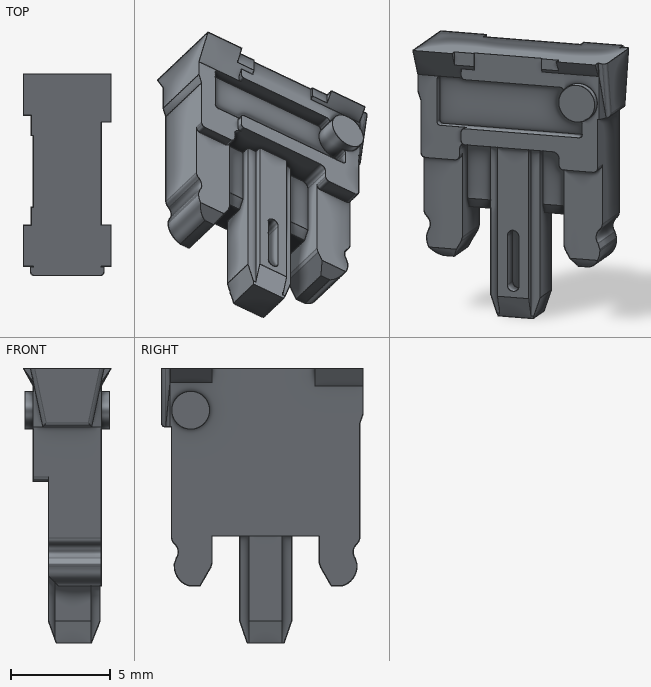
import cadquery as cq

TOP_Z = 13.75
BACK_X = 1.7
FACE_X = -BACK_X
RECESS_X = -1.4
LEG_X = -0.95
WEB_X = -0.16

LEG_OUTER_Y = 4.72
LEG_INNER_Y = 2.68
HEAD_END_Y = 4.88
HEAD_STEP_Z = 11.48
HEAD_SLOPE_END_Z = 11.0
TAB_BACK_Y = -4.78
TAB_BOTTOM_Z = 10.82
ARCH_Z = 8.98
ARCH_RADIUS = 0.35
SHOULDER_Z = 8.08
SHOULDER_RADIUS = 0.23
CORNER_RADIUS = 0.18
TONGUE_END_Y = 2.49

NECK_TOP_Z = 5.25
NECK_SHOULDER = [(4.66, 5.09), (4.54, 4.94)]
NECK_GROOVE = [(4.39, 4.59), (4.48, 4.25)]
FOOT_BULGE_Y = 4.58
FOOT_BULGE_TOP_Z = 3.95
FOOT_ARC_TOP_Z = 3.86
FOOT_RADIUS = 1.05
FOOT_Z = 2.86
FOOT_FLAT_Y = (3.29, 3.82)
FOOT_SLOPE_TOP = (2.75, 3.8)
FOOT_INNER_TOP_Z = 4.02
FOOT_CHAMFER = 0.51

WEB_Z = 5.35
WEB_CHAMFER_X = 0.29
WEB_CHAMFER_Z = 0.5

FLARE_WIDTH = 4.39
FLARE_X = FLARE_WIDTH / 2
SHORT_FLARE_Z = 13.05
FLARE_INNER_Y = 1.79
SHORT_FLARE_END_Y = -4.76
BACK_LONG_FLARE_Y = 2.46
BACK_SHORT_FLARE_Y = -2.68
LEDGE_X = -1.82
LONG_LEDGE_Y = 2.8
SHORT_LEDGE_Y = -2.7

POCKET_TOP_Z = 12.33
POCKET_BOTTOM_Z = 9.8
POCKET_START_Y = 3.86
POCKET_NOTCH_Y = -2.92
POCKET_NOTCH_Z = 10.71
POCKET_NOTCH_FOOT_Y = -3.7
POCKET_END_Y = -3.9

LONG_FLARE_SLOPE = (TOP_Z - POCKET_TOP_Z) / (FLARE_X + RECESS_X)
LONG_FLARE_Z = TOP_Z - LONG_FLARE_SLOPE * (FLARE_X - BACK_X)

TAB_FRONT_Y = -5.22
TAB_TOP_HALF = 1.84
TAB_BOTTOM_HALF = 1.22
TAB_ROOT_Y = -5.0
TAB_FILLET = 0.2

PIN_Y = -3.75
PIN_Z = 11.66
PIN_RADIUS = 0.95
PIN_HALF_LENGTH = 2.12

BLADE_HALF_Y = 1.3
BLADE_X = (-0.6, 1.18)
RIB_HALF_Y = 0.82
RIB_X = (LEG_X, 1.65)
TIP_HALF_Y = 0.92
TIP_X = (-0.55, 1.21)
TIP_TAPER_Z = 1.11
SLOT_WIDTH = 0.6
SLOT_BOTTOM_Z = 1.43
SLOT_TOP_Z = 4.56
SLOT_DEPTH = 0.82


def box(x_range, y_range, z_range):
    """Box between the given limits, in either order."""
    spans = [sorted(limits) for limits in (x_range, y_range, z_range)]
    sizes = [high - low for low, high in spans]
    corner = [low for low, high in spans]
    return cq.Workplane("XY").box(*sizes, centered=False).translate(tuple(corner))


def along_x(outline, x_start, x_end):
    """Extrude a function's closed (Y, Z) outline from x_start to x_end."""
    sketch = cq.Workplane("YZ").workplane(offset=x_start)
    return outline(sketch).close().extrude(x_end - x_start)


def prism_along_y(points, y_start, y_end):
    """Extrude an (X, Z) polygon from y_start up to y_end."""
    sketch = cq.Workplane("XZ").workplane(offset=-y_end)
    return sketch.polyline(points).close().extrude(y_end - y_start)


def leg_outline(sketch):
    """+Y leg with its latch neck and rounded foot."""
    return (
        sketch.moveTo(LEG_INNER_Y, SHOULDER_Z)
        .lineTo(LEG_OUTER_Y, SHOULDER_Z)
        .lineTo(LEG_OUTER_Y, NECK_TOP_Z)
        .threePointArc(*NECK_SHOULDER)
        .threePointArc(*NECK_GROOVE)
        .lineTo(FOOT_BULGE_Y, FOOT_BULGE_TOP_Z)
        .lineTo(FOOT_BULGE_Y, FOOT_ARC_TOP_Z)
        .radiusArc((FOOT_FLAT_Y[1], FOOT_Z), FOOT_RADIUS)
        .lineTo(FOOT_FLAT_Y[0], FOOT_Z)
        .lineTo(*FOOT_SLOPE_TOP)
        .lineTo(LEG_INNER_Y, FOOT_INNER_TOP_Z)
    )


def make_legs():
    leg = along_x(leg_outline, LEG_X, BACK_X)
    chamfer = prism_along_y(
        [(LEG_X, FOOT_Z), (LEG_X, FOOT_Z + FOOT_CHAMFER), (LEG_X + FOOT_CHAMFER, FOOT_Z)],
        LEG_INNER_Y, LEG_OUTER_Y,
    )
    leg = leg.cut(chamfer)
    return leg.union(leg.mirror("XZ"))


def head_outline(sketch):
    """Whole head, with the arch between the shoulders left square."""
    return sketch.polyline([
        (TAB_BACK_Y, TOP_Z),
        (HEAD_END_Y, TOP_Z),
        (HEAD_END_Y, HEAD_STEP_Z),
        (LEG_OUTER_Y, HEAD_SLOPE_END_Z),
        (LEG_OUTER_Y, SHOULDER_Z),
        (LEG_INNER_Y, SHOULDER_Z),
        (LEG_INNER_Y, ARCH_Z),
        (-LEG_INNER_Y, ARCH_Z),
        (-LEG_INNER_Y, SHOULDER_Z),
        (-LEG_OUTER_Y, SHOULDER_Z),
        (-LEG_OUTER_Y, TAB_BOTTOM_Z),
        (TAB_BACK_Y, TAB_BOTTOM_Z),
    ])


def raised_face_outline(sketch):
    """Part of the head that carries the raised side face."""
    return sketch.polyline([
        (TAB_BACK_Y, TOP_Z),
        (TONGUE_END_Y, TOP_Z),
        (TONGUE_END_Y, ARCH_Z),
        (-LEG_INNER_Y, ARCH_Z),
        (-LEG_INNER_Y, SHOULDER_Z),
        (-LEG_OUTER_Y, SHOULDER_Z),
        (-LEG_OUTER_Y, TAB_BOTTOM_Z),
        (TAB_BACK_Y, TAB_BOTTOM_Z),
    ])


def pocket_outline(sketch):
    """Marking pocket, cut short at its upper -Y corner where the pin passes."""
    return sketch.polyline([
        (POCKET_START_Y, POCKET_TOP_Z),
        (POCKET_NOTCH_Y, POCKET_TOP_Z),
        (POCKET_NOTCH_Y, PIN_Z),
        (POCKET_NOTCH_FOOT_Y, POCKET_NOTCH_Z),
        (POCKET_END_Y, POCKET_NOTCH_Z),
        (POCKET_END_Y, POCKET_BOTTOM_Z),
        (POCKET_START_Y, POCKET_BOTTOM_Z),
    ])


def round_edge_at(body, y, z, radius):
    """Fillet the edge parallel to X that passes through (y, z)."""
    reach = 0.01
    low = (-FLARE_X, y - reach, z - reach)
    high = (FLARE_X, y + reach, z + reach)
    return body.edges("|X").edges(cq.selectors.BoxSelector(low, high)).fillet(radius)


def make_pocket():
    pocket = along_x(pocket_outline, FACE_X, LEG_X)
    corners = [
        (POCKET_START_Y, POCKET_TOP_Z),
        (POCKET_NOTCH_Y, POCKET_TOP_Z),
        (POCKET_END_Y, POCKET_NOTCH_Z),
        (POCKET_END_Y, POCKET_BOTTOM_Z),
        (POCKET_START_Y, POCKET_BOTTOM_Z),
    ]
    for y, z in corners:
        pocket = round_edge_at(pocket, y, z, CORNER_RADIUS)
    return pocket


def make_head():
    pocket = make_pocket()
    base = along_x(head_outline, LEG_X, BACK_X)
    shoulder = along_x(head_outline, RECESS_X, LEG_X)
    for y in (-LEG_OUTER_Y, -LEG_INNER_Y, LEG_INNER_Y, LEG_OUTER_Y):
        shoulder = round_edge_at(shoulder, y, SHOULDER_Z, SHOULDER_RADIUS)
    for y in (-LEG_INNER_Y, LEG_INNER_Y):
        base = round_edge_at(base, y, ARCH_Z, ARCH_RADIUS)
        shoulder = round_edge_at(shoulder, y, ARCH_Z, ARCH_RADIUS)
    shoulder = shoulder.cut(pocket)

    raised_face = along_x(raised_face_outline, FACE_X, RECESS_X)
    for y in (-LEG_OUTER_Y, -LEG_INNER_Y):
        raised_face = round_edge_at(raised_face, y, SHOULDER_Z, SHOULDER_RADIUS)
    raised_face = round_edge_at(raised_face, -LEG_INNER_Y, ARCH_Z, ARCH_RADIUS)
    raised_face = raised_face.cut(pocket)
    for z in (ARCH_Z, POCKET_BOTTOM_Z, POCKET_TOP_Z):
        raised_face = round_edge_at(raised_face, TONGUE_END_Y, z, CORNER_RADIUS)
    above_recess = box((FACE_X, RECESS_X), (TONGUE_END_Y, HEAD_END_Y), (LONG_FLARE_Z, TOP_Z))

    return base.union(shoulder).union(raised_face).union(above_recess)


def make_web():
    profile = [
        (WEB_X, ARCH_Z),
        (BACK_X, ARCH_Z),
        (BACK_X, WEB_Z),
        (WEB_X + WEB_CHAMFER_X, WEB_Z),
        (WEB_X, WEB_Z + WEB_CHAMFER_Z),
    ]
    return prism_along_y(profile, -LEG_INNER_Y, LEG_INNER_Y)


def make_flares():
    side_flares = prism_along_y(
        [(-FLARE_X, TOP_Z), (RECESS_X, TOP_Z), (RECESS_X, POCKET_TOP_Z)],
        FLARE_INNER_Y, HEAD_END_Y,
    ).union(prism_along_y(
        [(-FLARE_X, TOP_Z), (FACE_X, TOP_Z), (FACE_X, SHORT_FLARE_Z)],
        SHORT_FLARE_END_Y, -FLARE_INNER_Y,
    ))
    trim = box((-FLARE_X, LEDGE_X), (SHORT_LEDGE_Y, LONG_LEDGE_Y), (POCKET_TOP_Z, TOP_Z))

    back_flares = prism_along_y(
        [(FLARE_X, TOP_Z), (BACK_X, TOP_Z), (BACK_X, LONG_FLARE_Z)],
        BACK_LONG_FLARE_Y, HEAD_END_Y,
    ).union(prism_along_y(
        [(FLARE_X, TOP_Z), (BACK_X, TOP_Z), (BACK_X, SHORT_FLARE_Z)],
        SHORT_FLARE_END_Y, BACK_SHORT_FLARE_Y,
    ))
    return side_flares.cut(trim), back_flares


def make_grip_tab():
    trapezoid = [
        (-TAB_TOP_HALF, TOP_Z),
        (TAB_TOP_HALF, TOP_Z),
        (TAB_BOTTOM_HALF, TAB_BOTTOM_Z),
        (-TAB_BOTTOM_HALF, TAB_BOTTOM_Z),
    ]
    plate = prism_along_y(trapezoid, TAB_FRONT_Y, TAB_BACK_Y)
    plate = plate.faces("<Y").edges("not >Z").fillet(TAB_FILLET)
    root = (
        cq.Workplane("XY").workplane(offset=TAB_BOTTOM_Z)
        .polyline([
            (FACE_X, TAB_BACK_Y),
            (-TAB_BOTTOM_HALF, TAB_ROOT_Y),
            (TAB_BOTTOM_HALF, TAB_ROOT_Y),
            (BACK_X, TAB_BACK_Y),
        ])
        .close().extrude(TOP_Z - TAB_BOTTOM_Z)
    )
    return plate.union(root)


def make_contact_blade():
    plank = box(BLADE_X, (-BLADE_HALF_Y, BLADE_HALF_Y), (0, ARCH_Z))
    rib = box(RIB_X, (-RIB_HALF_Y, RIB_HALF_Y), (0, ARCH_Z))
    x_taper = prism_along_y(
        [
            (RIB_X[0], ARCH_Z), (RIB_X[1], ARCH_Z), (RIB_X[1], TIP_TAPER_Z),
            (TIP_X[1], 0), (TIP_X[0], 0), (RIB_X[0], TIP_TAPER_Z),
        ],
        -BLADE_HALF_Y, BLADE_HALF_Y,
    )
    y_taper = along_x(
        lambda sketch: sketch.polyline([
            (-BLADE_HALF_Y, ARCH_Z), (BLADE_HALF_Y, ARCH_Z), (BLADE_HALF_Y, TIP_TAPER_Z),
            (TIP_HALF_Y, 0), (-TIP_HALF_Y, 0), (-BLADE_HALF_Y, TIP_TAPER_Z),
        ]),
        *RIB_X,
    )
    slot = (
        cq.Workplane("YZ", origin=(RIB_X[0], 0, (SLOT_TOP_Z + SLOT_BOTTOM_Z) / 2))
        .slot2D(SLOT_TOP_Z - SLOT_BOTTOM_Z, SLOT_WIDTH, 90)
        .extrude(SLOT_DEPTH)
    )
    return plank.union(rib).intersect(x_taper).intersect(y_taper).cut(slot)


def make_pivot_pin():
    return (
        cq.Workplane("YZ", origin=(-PIN_HALF_LENGTH, PIN_Y, PIN_Z))
        .circle(PIN_RADIUS).extrude(2 * PIN_HALF_LENGTH)
    )


def make_housing(blade, pin):
    """Housing in one piece, with a channel for the blade and a bore for the pin."""
    side_flares, back_flares = make_flares()
    body = make_head()
    for feature in (make_legs(), make_web(), side_flares, back_flares, make_grip_tab()):
        body = body.union(feature)
    return body.cut(blade).cut(pin)


contact_blade = make_contact_blade()
pivot_pin = make_pivot_pin()
housing = make_housing(contact_blade, pivot_pin)

result = cq.Compound.makeCompound([
    housing.solids().val(),
    contact_blade.solids().val(),
    pivot_pin.val(),
])